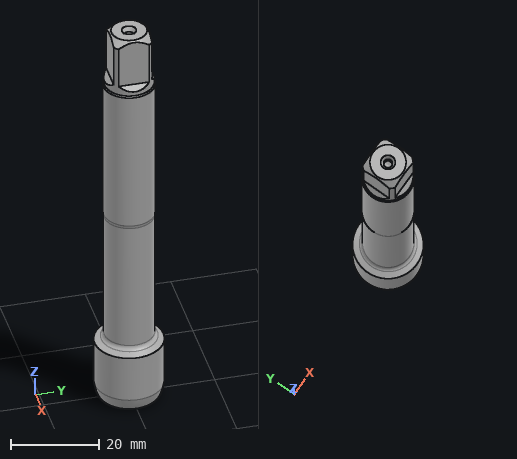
import cadquery as cq
import math

TOTAL_LENGTH = 100.0
HEAD_TOP_Z = 14.9
LEAD_TOP_Z = 3.4
NECK_TOP_Z = 49.3
SHANK_START_Z = 50.1
SHANK_END_Z = 85.4
COLLAR_START_Z = 85.8
SQUARE_BOTTOM_Z = 88.1

HEAD_DIAMETER = 16.1
NECK_DIAMETER = 11.7
SHANK_DIAMETER = 12.0
COLLAR_DIAMETER = 11.5
SQUARE_WIDTH = 9.0
TOP_FACE_DIAMETER = 8.2

LEAD_END_RADIUS = 7.3
LEAD_MIDDLE_RADIUS = 7.8
LEAD_MIDDLE_Z = 2.0
LEAD_END_Z = 0.5
BOTTOM_FACE_RADIUS = 6.6

NECK_FILLET = 1.4
SHOULDER_SLOPE = math.radians(30)

CENTRE_MOUTH_DIAMETER = 3.3
CENTRE_HOLE_DIAMETER = 2.0
CENTRE_CONE_ANGLE = math.radians(60)
CENTRE_HOLE_DEPTH = 3.0
DRILL_TIP_ANGLE = math.radians(118)

head_radius = HEAD_DIAMETER / 2
neck_radius = NECK_DIAMETER / 2
shank_radius = SHANK_DIAMETER / 2
collar_radius = COLLAR_DIAMETER / 2
top_face_radius = TOP_FACE_DIAMETER / 2


def revolve_profile(profile):
    """Revolve a closed radius-height profile around the Z axis."""
    return profile.close().revolve(360, (0, 0, 0), (0, 1, 0))


def make_cutting_head():
    """Cylindrical head with a rounded lead and a small rounded bottom edge."""
    return revolve_profile(
        cq.Workplane("XZ")
        .moveTo(0, HEAD_TOP_Z)
        .lineTo(head_radius, HEAD_TOP_Z)
        .lineTo(head_radius, LEAD_TOP_Z)
        .threePointArc((LEAD_MIDDLE_RADIUS, LEAD_MIDDLE_Z), (LEAD_END_RADIUS, LEAD_END_Z))
        .tangentArcPoint((BOTTOM_FACE_RADIUS, 0), relative=False)
        .lineTo(0, 0)
    )


def make_shank_blank():
    """Turned shank: sloped shoulder, fillet, neck, main shank, collar and 45 degree top chamfer."""
    fillet_turn = math.pi / 2 - SHOULDER_SLOPE
    fillet_centre_radius = neck_radius + NECK_FILLET
    blend_radius = fillet_centre_radius - NECK_FILLET * math.cos(fillet_turn)
    middle_radius = fillet_centre_radius - NECK_FILLET * math.cos(fillet_turn / 2)
    blend_z = HEAD_TOP_Z + (head_radius - blend_radius) * math.tan(SHOULDER_SLOPE)
    fillet_centre_z = blend_z + NECK_FILLET * math.sin(fillet_turn)
    middle_z = fillet_centre_z - NECK_FILLET * math.sin(fillet_turn / 2)
    top_chamfer = collar_radius - top_face_radius
    return revolve_profile(
        cq.Workplane("XZ")
        .moveTo(0, HEAD_TOP_Z)
        .lineTo(head_radius, HEAD_TOP_Z)
        .lineTo(blend_radius, blend_z)
        .threePointArc((middle_radius, middle_z), (neck_radius, fillet_centre_z))
        .lineTo(neck_radius, NECK_TOP_Z)
        .lineTo(shank_radius, SHANK_START_Z)
        .lineTo(shank_radius, SHANK_END_Z)
        .lineTo(collar_radius, COLLAR_START_Z)
        .lineTo(collar_radius, TOTAL_LENGTH - top_chamfer)
        .lineTo(top_face_radius, TOTAL_LENGTH)
        .lineTo(0, TOTAL_LENGTH)
    )


def make_flat_cutter():
    """Cutter for one flat of the drive square, with a 45 degree ramp at its lower end."""
    inner = SQUARE_WIDTH / 2
    outer = shank_radius
    ramp_drop = outer - inner
    return (
        cq.Workplane("XZ")
        .moveTo(inner, SQUARE_BOTTOM_Z)
        .lineTo(outer, SQUARE_BOTTOM_Z - ramp_drop)
        .lineTo(outer, TOTAL_LENGTH)
        .lineTo(inner, TOTAL_LENGTH)
        .close()
        .extrude(shank_radius, both=True)
    )


def make_centre_hole():
    """Drilled hole with a conical tip and a countersunk mouth."""
    mouth_radius = CENTRE_MOUTH_DIAMETER / 2
    hole_radius = CENTRE_HOLE_DIAMETER / 2
    cone_depth = (mouth_radius - hole_radius) / math.tan(CENTRE_CONE_ANGLE / 2)
    tip_depth = hole_radius / math.tan(DRILL_TIP_ANGLE / 2)
    hole_bottom_z = TOTAL_LENGTH - CENTRE_HOLE_DEPTH
    return revolve_profile(
        cq.Workplane("XZ")
        .moveTo(0, TOTAL_LENGTH)
        .lineTo(mouth_radius, TOTAL_LENGTH)
        .lineTo(hole_radius, TOTAL_LENGTH - cone_depth)
        .lineTo(hole_radius, hole_bottom_z)
        .lineTo(0, hole_bottom_z - tip_depth)
    )


def make_shank():
    """Shank with four drive flats and a centre hole."""
    body = make_shank_blank()
    for angle in (0, 90, 180, 270):
        body = body.cut(make_flat_cutter().rotate((0, 0, 0), (0, 0, 1), angle))
    return body.cut(make_centre_hole())


cutting_head = make_cutting_head()
shank = make_shank()

result = cq.Compound.makeCompound([cutting_head.val(), shank.val()])